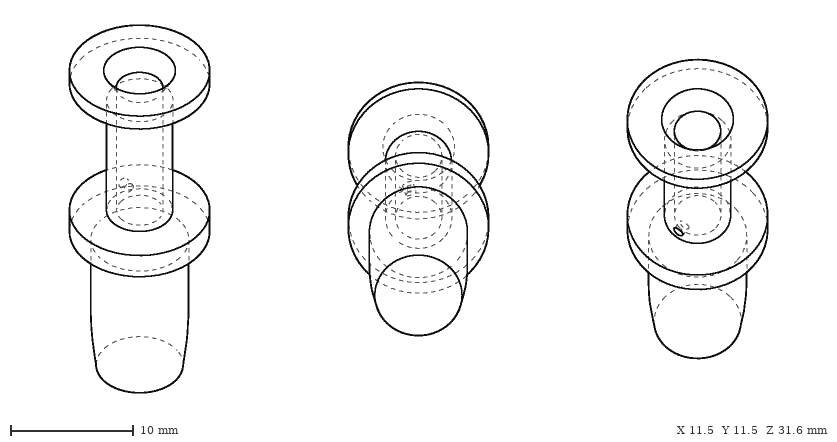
import cadquery as cq
import math

total_height = 31.6
flange_radius = 5.75

tip_height = 1.2
barrel_bottom = 5.85
collar_cone_bottom = 13.5
collar_bottom = 14.35
collar_top = 16.62
head_cone_bottom = 28.45
head_bottom = 30.2

stem_radius = 2.72
barrel_radius = 4.0
taper_end_radius = 3.7
tip_radius = 3.57

bore_radius = 1.9
mouth_radius = 2.95
entry_half_angle = 30.0
floor_half_angle = 59.0
bore_wall_bottom = collar_top

vent_radius = 0.45
vent_height = 17.6


def turned_body():
    """Revolve the outer profile: barrel with a bowed taper, collar, stem and head."""
    return (
        cq.Workplane("XZ")
        .moveTo(0, total_height)
        .lineTo(flange_radius, total_height)
        .lineTo(flange_radius, head_bottom)
        .lineTo(stem_radius, head_cone_bottom)
        .lineTo(stem_radius, collar_top)
        .lineTo(flange_radius, collar_top)
        .lineTo(flange_radius, collar_bottom)
        .lineTo(barrel_radius, collar_cone_bottom)
        .lineTo(barrel_radius, barrel_bottom)
        .tangentArcPoint((taper_end_radius, tip_height), relative=False)
        .lineTo(tip_radius, 0)
        .lineTo(0, 0)
        .close()
        .revolve(360, (0, 0, 0), (0, 1, 0))
    )


def bore():
    """Revolve the bore profile: conical entry, straight wall and pointed floor."""
    entry_depth = (mouth_radius - bore_radius) / math.tan(math.radians(entry_half_angle))
    floor_depth = bore_radius / math.tan(math.radians(floor_half_angle))
    return (
        cq.Workplane("XZ")
        .moveTo(0, total_height)
        .lineTo(mouth_radius, total_height)
        .lineTo(bore_radius, total_height - entry_depth)
        .lineTo(bore_radius, bore_wall_bottom)
        .lineTo(0, bore_wall_bottom - floor_depth)
        .close()
        .revolve(360, (0, 0, 0), (0, 1, 0))
    )


def vent():
    """Cross hole running from outside the stem on the -X side to the axis."""
    return (
        cq.Workplane("YZ", origin=(-flange_radius, 0, vent_height))
        .circle(vent_radius)
        .extrude(flange_radius)
    )


result = turned_body().cut(bore()).cut(vent())